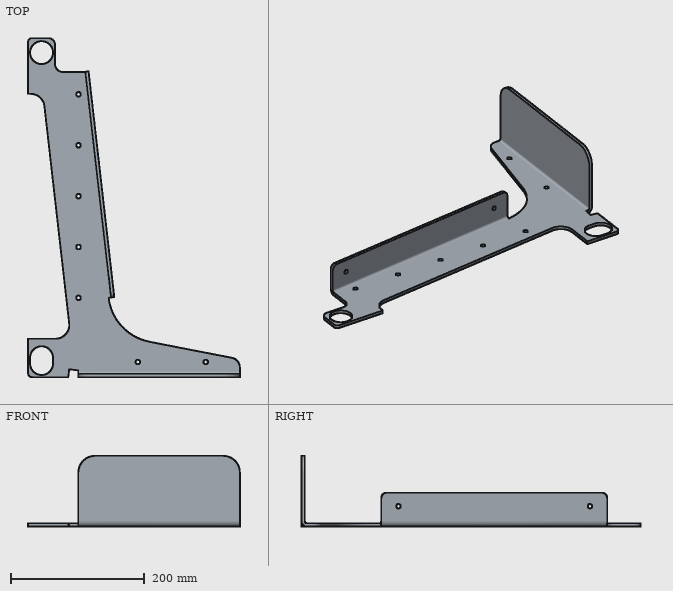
import cadquery as cq
import math

THICKNESS = 5.0
INNER_BEND = 3.5
OUTER_BEND = INNER_BEND + THICKNESS
SCREW_DIAMETER = 6.5

WIDTH = 317.5
DEPTH = 508.0
HEIGHT = 106.0

LEG_SLOPE = math.tan(math.radians(6.5))
LEG_TOP = 457.0
LEG_RIGHT_AT_TOP = 82.5
LEG_LEFT_AT_TAB = 22.5
LEG_FILLET = 20.5
LEG_HOLE_X = 75.5
LEG_HOLE_FIRST_Y = 119.0
LEG_HOLE_PITCH = 76.0
LEG_HOLE_COUNT = 5

REAR_TAB_WIDTH = 40.5
REAR_TAB_BOTTOM = 424.0
REAR_TAB_FILLET = 11.5
TAB_LEFT_CORNER = 6.0
TAB_RIGHT_CORNER = 10.0
FRONT_TAB_TOP = 58.0
FRONT_TAB_WIDTH = 60.5
OPENING_X = REAR_TAB_WIDTH / 2
OPENING_WIDTH = 34.0
REAR_OPENING_Y = 486.0
SLOT_Y = 25.0
SLOT_LENGTH = 42.5

TOE_TIP_Y = 27.0
TOE_SLOPE = math.tan(math.radians(11))
TOE_TIP_RADIUS = 15.0
TOE_FILLET = 76.0
TOE_HOLE_XS = (164.5, 266.0)
TOE_HOLE_Y = 23.0
NOTCH_DEPTH = 11.5

FRONT_FLANGE_LEFT = 75.0
FRONT_FLANGE_CORNER = 25.5

SIDE_FLANGE_BOTTOM = 119.0
SIDE_FLANGE_HEIGHT = 51.0
SIDE_FLANGE_CORNER = 8.0
SIDE_HOLE_INSET = 26.0
SIDE_HOLE_Z = 30.5


def leg_left(y):
    return LEG_LEFT_AT_TAB + (REAR_TAB_BOTTOM - y) * LEG_SLOPE


def leg_right(y):
    return LEG_RIGHT_AT_TOP + (LEG_TOP - y) * LEG_SLOPE


def heel_corner():
    """Meeting point of the leg's right edge and the toe's sloping edge."""
    toe_at_left = TOE_TIP_Y + (WIDTH - leg_right(0)) * TOE_SLOPE
    y = toe_at_left / (1 - LEG_SLOPE * TOE_SLOPE)
    return (leg_right(y), y)


def make_plate():
    notch_shift = NOTCH_DEPTH * LEG_SLOPE
    notch_corner = (FRONT_TAB_WIDTH + notch_shift, NOTCH_DEPTH)
    notch_end = NOTCH_DEPTH - (FRONT_FLANGE_LEFT - notch_corner[0]) * LEG_SLOPE
    corners = [
        ((0, 0), TAB_LEFT_CORNER),
        ((FRONT_TAB_WIDTH, 0), 0),
        (notch_corner, 0),
        ((FRONT_FLANGE_LEFT, notch_end), 0),
        ((FRONT_FLANGE_LEFT, OUTER_BEND), 0),
        ((WIDTH, OUTER_BEND), 0),
        ((WIDTH, TOE_TIP_Y), TOE_TIP_RADIUS),
        (heel_corner(), TOE_FILLET),
        ((leg_right(LEG_TOP), LEG_TOP), 0),
        ((REAR_TAB_WIDTH, LEG_TOP), REAR_TAB_FILLET),
        ((REAR_TAB_WIDTH, DEPTH), TAB_RIGHT_CORNER),
        ((0, DEPTH), TAB_LEFT_CORNER),
        ((0, REAR_TAB_BOTTOM), 0),
        ((leg_left(REAR_TAB_BOTTOM), REAR_TAB_BOTTOM), LEG_FILLET),
        ((leg_left(FRONT_TAB_TOP), FRONT_TAB_TOP), LEG_FILLET),
        ((0, FRONT_TAB_TOP), 0),
    ]
    plate = cq.Workplane("XY").polyline([point for point, _ in corners]).close().extrude(THICKNESS)
    for (x, y), radius in corners:
        if radius:
            edge = cq.selectors.NearestToPointSelector((x, y, THICKNESS / 2))
            plate = plate.edges("|Z").edges(edge).fillet(radius)
    return plate


def make_flange(length, height, corner):
    """Bend and upright wall along +X; the outer face is Y=0, the plate joins at Y=OUTER_BEND."""
    middle = math.sqrt(0.5)
    outer_middle = OUTER_BEND * (1 - middle)
    inner_middle = OUTER_BEND - INNER_BEND * middle
    flange = (
        cq.Workplane("YZ")
        .moveTo(OUTER_BEND, 0)
        .threePointArc((outer_middle, outer_middle), (0, OUTER_BEND))
        .lineTo(0, height)
        .lineTo(THICKNESS, height)
        .lineTo(THICKNESS, OUTER_BEND)
        .threePointArc((inner_middle, inner_middle), (OUTER_BEND, THICKNESS))
        .close()
        .extrude(length)
    )
    return flange.faces(">Z").edges("|Y").fillet(corner)


def make_front_flange():
    flange = make_flange(WIDTH - FRONT_FLANGE_LEFT, HEIGHT, FRONT_FLANGE_CORNER)
    return flange.translate((FRONT_FLANGE_LEFT, 0, 0))


def make_side_flange():
    length = (LEG_TOP - SIDE_FLANGE_BOTTOM) * math.hypot(1, LEG_SLOPE)
    flange = make_flange(length, SIDE_FLANGE_HEIGHT, SIDE_FLANGE_CORNER)
    holes = (
        cq.Workplane("XZ")
        .pushPoints([(x, SIDE_HOLE_Z) for x in (SIDE_HOLE_INSET, length - SIDE_HOLE_INSET)])
        .circle(SCREW_DIAMETER / 2)
        .extrude(-THICKNESS)
    )
    turn = 90 + math.degrees(math.atan(LEG_SLOPE))
    return (
        flange.cut(holes)
        .translate((0, -OUTER_BEND, 0))
        .rotate((0, 0, 0), (0, 0, 1), turn)
        .translate((leg_right(SIDE_FLANGE_BOTTOM), SIDE_FLANGE_BOTTOM, 0))
    )


def make_plate_openings():
    screws = [(LEG_HOLE_X, LEG_HOLE_FIRST_Y + i * LEG_HOLE_PITCH) for i in range(LEG_HOLE_COUNT)]
    screws += [(x, TOE_HOLE_Y) for x in TOE_HOLE_XS]
    base = cq.Workplane("XY")
    screw_holes = base.pushPoints(screws).circle(SCREW_DIAMETER / 2).extrude(THICKNESS)
    rear_hole = base.center(OPENING_X, REAR_OPENING_Y).circle(OPENING_WIDTH / 2).extrude(THICKNESS)
    slot = base.center(OPENING_X, SLOT_Y).slot2D(SLOT_LENGTH, OPENING_WIDTH, 90).extrude(THICKNESS)
    return screw_holes.union(rear_hole).union(slot)


plate = make_plate().cut(make_plate_openings())
result = plate.union(make_front_flange()).union(make_side_flange())